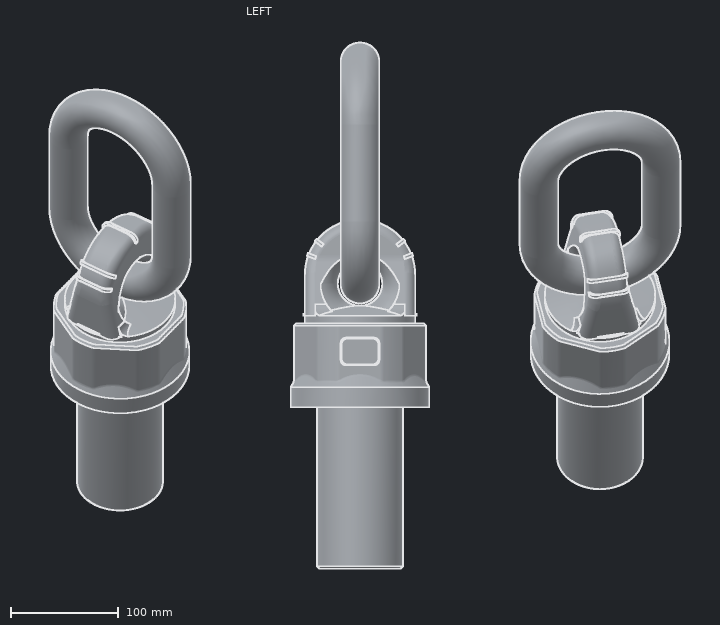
import cadquery as cq
import math


shank_length = 150.0
shank_radius = 40.0
shank_chamfer = 2.5
collar_radius = 64.5
collar_height = 18.5
base_height = 78.0
base_corner_radius = 61.5
base_apothem = 58.0
base_sides = 6
base_top_chamfer = 2.5
flare_height = 11.0
base_edge_fillet = 10.0
flare_blend = 4.0
label_width = 33.5
label_height = 23.5
label_proud = 0.5
label_thickness = 1.0
label_wall_angle = 69
label_corner_radius = 4.5
label_center_z = 52.0

disc_radius = 51.5
disc_edge_height = 7.0
disc_top_z = base_height + disc_edge_height
loop_half_width = 18.0
loop_foot_half_width = 29.0
loop_taper_end_z = 138.0
loop_taper_blend = 29.5
loop_outer_radius = disc_radius
loop_center_z = 123.0
loop_top_z = loop_center_z + loop_outer_radius
loop_edge_fillet = 10
skirt_half_width = 35.0
skirt_height = 10.5
skirt_inset = 2.0
skirt_hollow = 0.35
foot_lip_radius = 52.5
foot_lip_height = 2.0
foot_lip_width = 29.5
hole_radius = 20.5
hole_center_z = 115.0
hole_flare_radius = 24.5
hole_flare_reach = 23.0
dome_top_z = hole_center_z - hole_radius
rib_angles = (21, 38, 90, 142, 159)
rib_thickness = 3.0
rib_proud = 1.0
rib_half_width = 19.0
rib_depth = 8.5
rib_corner_radius = 7.5

wire_radius = 18.0
link_width = 152.0
link_length = 242.0
link_bottom_z = 96.0


def make_bolt():
    shank = (
        cq.Workplane("XY").circle(shank_radius).extrude(-shank_length)
        .faces("<Z").chamfer(shank_chamfer)
    )
    collar = cq.Workplane("XY").circle(collar_radius).extrude(collar_height)
    flare = cq.Workplane(cq.Solid.makeCone(
        collar_radius, base_apothem, flare_height, pnt=cq.Vector(0, 0, collar_height)))
    hexagon = (
        cq.Workplane("XY")
        .polygon(base_sides, 2 * base_apothem / math.cos(math.pi / base_sides))
        .extrude(base_height)
        .rotate((0, 0, 0), (0, 0, 1), 180 / base_sides)
    )
    base = (
        cq.Workplane("XY").circle(base_corner_radius).extrude(base_height)
        .intersect(hexagon).edges("|Z").fillet(base_edge_fillet)
        .faces(">Z").chamfer(base_top_chamfer)
    )
    head = base.union(flare).edges("%HYPERBOLA").fillet(flare_blend)
    return shank.union(collar).union(head).union(make_label_pad())


def make_label_pad():
    outline = cq.Sketch().rect(label_width, label_height).vertices().fillet(label_corner_radius)
    return (
        cq.Workplane("YZ", origin=(-base_apothem - label_proud, 0, label_center_z))
        .placeSketch(outline).extrude(label_thickness, taper=-label_wall_angle)
    )


def make_eye():
    eye = make_disc().union(make_loop()).union(make_foot_lips())
    for angle in rib_angles:
        eye = eye.union(make_rib(angle).cut(make_flared_hole()))
    return eye


def make_disc():
    dome_rise = dome_top_z - disc_top_z
    dome_radius = (disc_radius**2 + dome_rise**2) / (2 * dome_rise)
    dome = cq.Workplane("XY", origin=(0, 0, dome_top_z - dome_radius)).sphere(dome_radius)
    return (
        cq.Workplane("XY", origin=(0, 0, base_height)).circle(disc_radius)
        .extrude(dome_top_z - base_height).intersect(dome)
    )


def make_loop():
    arch = (
        cq.Workplane("YZ")
        .moveTo(-loop_outer_radius, disc_top_z)
        .lineTo(-loop_outer_radius, loop_center_z)
        .threePointArc((0, loop_top_z), (loop_outer_radius, loop_center_z))
        .lineTo(loop_outer_radius, disc_top_z)
        .close().extrude(loop_foot_half_width, both=True)
    )
    right_cheek = [
        (loop_half_width, loop_top_z),
        (loop_half_width, loop_taper_end_z),
        (loop_foot_half_width, disc_top_z),
    ]
    left_cheek = [(-x, z) for x, z in reversed(right_cheek)]
    wedge = (
        cq.Workplane("XZ").polyline(right_cheek + left_cheek)
        .close().extrude(loop_outer_radius, both=True)
        .edges("|Y").edges(cq.selectors.BoxSelector(
            (-loop_foot_half_width, -loop_outer_radius, hole_center_z),
            (loop_foot_half_width, loop_outer_radius, loop_center_z + hole_radius)))
        .fillet(loop_taper_blend)
    )
    loop = arch.intersect(wedge)
    loop = loop.faces("<Y").edges("not |X").fillet(loop_edge_fillet)
    return loop.union(make_skirts()).cut(make_flared_hole())


def make_skirts():
    low = (skirt_half_width, disc_top_z)
    high = (loop_foot_half_width - skirt_inset, disc_top_z + skirt_height)
    middle = (
        high[0] + skirt_hollow * (low[0] - high[0]),
        low[1] + skirt_hollow * (high[1] - low[1]),
    )
    skirt_half_length = loop_outer_radius - loop_edge_fillet
    right_skirt = (
        cq.Workplane("XZ").moveTo(0, disc_top_z).lineTo(*low)
        .threePointArc(middle, high).lineTo(0, high[1])
        .close().extrude(skirt_half_length, both=True)
    )
    disc_outline = (
        cq.Workplane("XY", origin=(0, 0, disc_top_z)).circle(disc_radius).extrude(skirt_height)
    )
    return right_skirt.union(right_skirt.mirror("YZ")).intersect(disc_outline)


def make_foot_lips():
    lip_box = cq.Workplane("XY").box(foot_lip_width, 2 * foot_lip_radius, 2 * loop_top_z)
    return (
        cq.Workplane("XY", origin=(0, 0, disc_top_z))
        .circle(foot_lip_radius).extrude(foot_lip_height).intersect(lip_box)
    )


def make_flared_hole():
    mouth_radius = (
        hole_radius + hole_flare_radius
        - math.sqrt(hole_flare_radius**2 - hole_flare_reach**2)
    )
    return (
        cq.Workplane("XY", origin=(0, 0, hole_center_z))
        .moveTo(-skirt_half_width, 0)
        .lineTo(-skirt_half_width, mouth_radius)
        .lineTo(-hole_flare_reach, mouth_radius)
        .threePointArc((0, hole_radius), (hole_flare_reach, mouth_radius))
        .lineTo(skirt_half_width, mouth_radius)
        .lineTo(skirt_half_width, 0)
        .close().revolve(360, (0, 0, 0), (1, 0, 0))
    )


def make_rib(angle):
    outer = loop_outer_radius + rib_proud
    rib = (
        cq.Workplane("XY")
        .box(2 * rib_half_width, rib_depth, rib_thickness)
        .edges("|Z and >Y").fillet(rib_corner_radius)
        .translate((0, outer - rib_depth / 2, 0))
    )
    return rib.rotate((0, 0, 0), (1, 0, 0), angle).translate((0, 0, loop_center_z))


def make_link():
    bend_radius = link_width / 2 - wire_radius
    low = link_bottom_z + link_width / 2
    high = link_bottom_z + link_length - link_width / 2
    path = (
        cq.Workplane("XZ").moveTo(-bend_radius, low)
        .lineTo(-bend_radius, high)
        .threePointArc((0, high + bend_radius), (bend_radius, high))
        .lineTo(bend_radius, low)
        .threePointArc((0, low - bend_radius), (-bend_radius, low))
        .close()
    )
    return cq.Workplane("XY", origin=(-bend_radius, 0, low)).circle(wire_radius).sweep(path)


bolt = make_bolt()
eye = make_eye()
link = make_link()
result = cq.Compound.makeCompound([bolt.val(), eye.val(), link.val()])